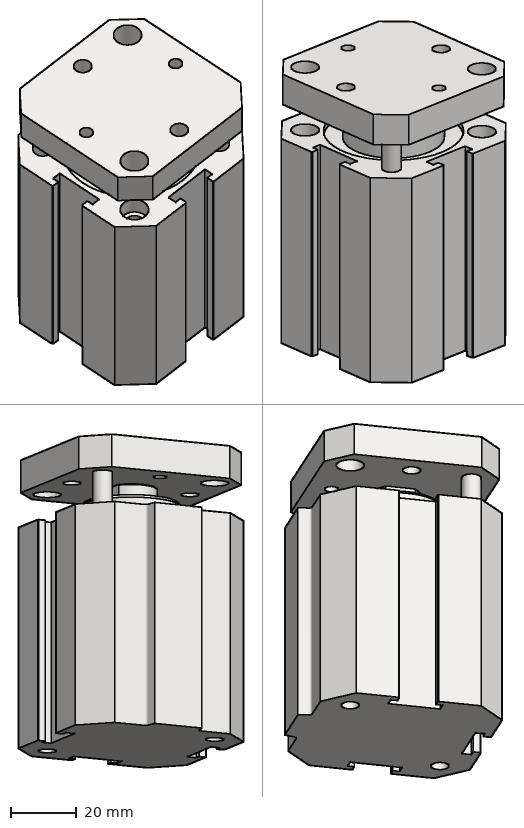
import cadquery as cq

total_height = 89.5
housing_side = 57.0
housing_height = 68.5
housing_chamfer = 8.95
plate_side = 54.95
plate_thickness = 10.1
plate_chamfer = 7.5
plate_bottom = total_height - plate_thickness
half_side = housing_side / 2

rail_height = 4.0
rail_top_half_width = 8.0
rail_root_half_width = 8.9
rail_root_fillet = 0.9

slot_mouth_half_width = 6.0
slot_inner_half_width = 8.1
slot_lip_thickness = 2.5
slot_depth = 5.5
slot_edge_chamfer = 0.3
slot_face_angles = (-90, 0, 90)

recess_diameter = 42.5
recess_depth = 2.0
boss_diameter = 31.0
boss_height = 6.2
boss_top = housing_height + boss_height
boss_chamfer = 1.0

corner_offset = 19.0
screw_hole_diameter = 5.5
counterbore_diameter = 8.6
counterbore_depth = 5.4
plate_access_diameter = 8.5
guide_rod_diameter = 6.0
screw_places = [(-corner_offset, corner_offset), (corner_offset, -corner_offset)]
guide_rod_places = [(-corner_offset, -corner_offset), (corner_offset, corner_offset)]

mount_radius = 20.0
x_mount_diameter = 5.5
y_mount_diameter = 4.1

piston_rod_diameter = 16.0
flats_width = 13.0
flats_height = 3.8
piston_rod_chamfer = 0.3


def chamfered_block(side, chamfer, height, bottom):
    """Square block centred on the Z axis with its four upright edges chamfered."""
    block = cq.Workplane("XY", origin=(0, 0, bottom)).rect(side, side).extrude(height)
    return block.edges("|Z").chamfer(chamfer)


def cylinders(places, diameter, bottom, top):
    """Upright cylinders at the given places, for rods or for cutting holes."""
    base = cq.Workplane("XY", origin=(0, 0, bottom))
    return base.pushPoints(places).circle(diameter / 2).extrude(top - bottom)


def rail():
    """Tapered rail that stands on the +Y face and has concave fillets at its root."""
    outline = [
        (-rail_root_half_width, half_side),
        (-rail_top_half_width, half_side + rail_height),
        (rail_top_half_width, half_side + rail_height),
        (rail_root_half_width, half_side),
    ]
    return cq.Workplane("XY").polyline(outline).close().extrude(housing_height)


def rail_root_edges(body):
    """The two upright edges where the rail meets the +Y face."""
    middle_height = housing_height / 2
    left = cq.selectors.NearestToPointSelector((-rail_root_half_width, half_side, middle_height))
    right = cq.selectors.NearestToPointSelector((rail_root_half_width, half_side, middle_height))
    return body.edges("|Z").edges(left + right)


def t_slot():
    """Cutter for the full-height T-slot in the -Y face, with its mouth edges chamfered."""
    lip_back = slot_lip_thickness - half_side
    slot_back = slot_depth - half_side
    right_side = [
        (slot_mouth_half_width + slot_edge_chamfer, -half_side),
        (slot_mouth_half_width, slot_edge_chamfer - half_side),
        (slot_mouth_half_width, lip_back),
        (slot_inner_half_width, lip_back),
        (slot_inner_half_width, slot_back),
    ]
    left_side = [(-x, y) for x, y in reversed(right_side)]
    return cq.Workplane("XY").polyline(right_side + left_side).close().extrude(housing_height)


def make_housing():
    body = chamfered_block(housing_side, housing_chamfer, housing_height, 0)
    body = body.union(rail())
    body = rail_root_edges(body).fillet(rail_root_fillet)
    for angle in slot_face_angles:
        body = body.cut(t_slot().rotate((0, 0, 0), (0, 0, 1), angle))

    recess_floor = housing_height - recess_depth
    body = body.cut(cylinders([(0, 0)], recess_diameter, recess_floor, housing_height))
    boss = cylinders([(0, 0)], boss_diameter, recess_floor, boss_top)
    body = body.union(boss.faces(">Z").chamfer(boss_chamfer))

    body = body.cut(cylinders(screw_places, screw_hole_diameter, 0, housing_height))
    counterbore_floor = housing_height - counterbore_depth
    return body.cut(cylinders(screw_places, counterbore_diameter, counterbore_floor, housing_height))


def piston_rod():
    """Rod from the boss to the plate, with a chamfered top end and two flats below the plate."""
    rod = cylinders([(0, 0)], piston_rod_diameter, boss_top, plate_bottom)
    rod = rod.faces(">Z").chamfer(piston_rod_chamfer)
    flats_bottom = plate_bottom - flats_height
    for side in (-1, 1):
        flat = cq.Workplane("XY", origin=(side * flats_width, 0, flats_bottom))
        rod = rod.cut(flat.rect(flats_width, piston_rod_diameter).extrude(flats_height))
    return rod


def make_slide():
    """Plate, piston rod and guide rods, which move as one body and meet the housing end to end."""
    slide = chamfered_block(plate_side, plate_chamfer, plate_thickness, plate_bottom)
    x_mounts = [(-mount_radius, 0), (mount_radius, 0)]
    y_mounts = [(0, -mount_radius), (0, mount_radius)]
    slide = slide.cut(cylinders(x_mounts, x_mount_diameter, plate_bottom, total_height))
    slide = slide.cut(cylinders(y_mounts, y_mount_diameter, plate_bottom, total_height))
    slide = slide.cut(cylinders(screw_places, plate_access_diameter, plate_bottom, total_height))

    guide_rods = cylinders(guide_rod_places, guide_rod_diameter, housing_height, plate_bottom)
    return slide.union(piston_rod()).union(guide_rods)


housing = make_housing()
slide = make_slide()
result = cq.Compound.makeCompound([housing.val(), slide.val()])